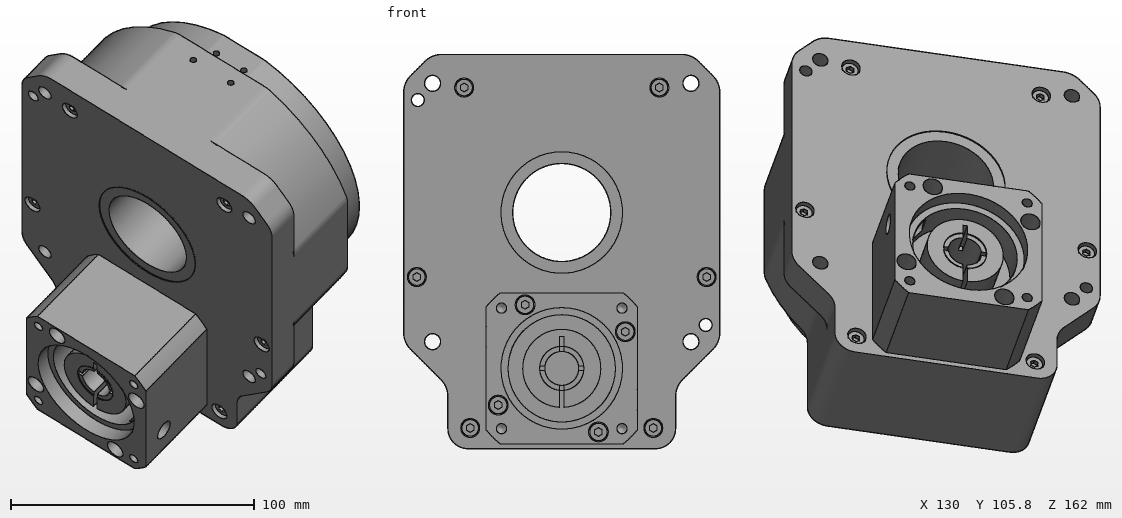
import cadquery as cq
import math


plate_thickness = 14.5
housing_length = 36.0
rotor_length = 14.5
adapter_length = 40.8
housing_back = plate_thickness + housing_length
rotor_back = housing_back + rotor_length

half_width = 65.0
foot_half_width = 46.8
foot_bottom = -97.0
corner_cut_sum = 118.3
edge_fillet = 9.7
foot_fillet = 8.5

housing_radius = 69.0
housing_flat_fillet = 8.0
housing_neck_fillet = 10.0
rotor_radius = 60.0
rotor_flat_height = 59.0
bore_radius = 20.1
bore_ring_radius = 25.0
bore_ring_recess = 0.5

motor_z = -64.0
adapter_width = 62.0
adapter_corner_radius = 40.0
pilot_radius = 25.0
pilot_depth = 6.5
hub_recess = 6.0
cavity_radius = 22.0
cavity_depth = 20.0
hub_radius = 16.0
shaft_radius = 7.0
shaft_depth = 26.0
sleeve_radius = 9.0
sleeve_recess = 0.5
sleeve_slot_depth = 8.5
clamp_slot_width = 1.8
relief_slot_top = 13.1
access_radius = 4.2
access_height = 13.0
access_depth = 12.2

mount_circle = 75.0
mount_radius = 3.2
dowel_radius = 2.6
dowel_angle = 142
screw_circle = 65.1
plate_screw_angles = (52, 128, -24, 204)
screw_bore_radius = 3.9
screw_head_radius = 3.4
screw_head_recess = 1.6
head_height = 4.0
socket_width = 3.0
socket_depth = 2.0
foot_screw_x = 37.6
foot_screw_z = -88.5
adapter_screw_circle = 30.1
adapter_screw_radius = 4.0
adapter_screw_head_radius = 3.5
adapter_screw_head_recess = 32.4
adapter_screw_angle = 30
motor_tap_circle = 35.0
motor_tap_radius = 2.1
motor_tap_depth = 16.2
flat_tap_radius = 1.3
flat_tap_depth = 8.1
drill_tip_half_angle = math.radians(59)
housing_tap_x = 9.7
housing_tap_y = 43.5
rotor_tap_x = 7.1
rotor_tap_y = 55.7

ALONG_Y = cq.Vector(0, 1, 0)


def rod(radius, length, start, direction=ALONG_Y):
    """Cylinder that begins at start and runs along direction."""
    return cq.Workplane(cq.Solid.makeCylinder(radius, length, cq.Vector(*start), direction))


def block(x_range, y_range, z_range):
    """Axis-aligned box between the given limits."""
    sizes = [high - low for low, high in (x_range, y_range, z_range)]
    corner = cq.Vector(x_range[0], y_range[0], z_range[0])
    return cq.Workplane(cq.Solid.makeBox(*sizes, corner))


def drilled(radius, depth, start, direction):
    """Blind drilled hole with a conical tip."""
    tip_length = radius / math.tan(drill_tip_half_angle)
    tip_start = cq.Vector(*start) + direction * depth
    tip = cq.Solid.makeCone(radius, 0, tip_length, tip_start, direction)
    return rod(radius, depth, start, direction).union(cq.Workplane(tip))


def prism(points, y, length):
    """Straight prism along +Y over a closed outline of (x, z) points."""
    corners = [cq.Vector(x, y, z) for x, z in points]
    face = cq.Face.makeFromWires(cq.Wire.makePolygon(corners, close=True))
    return cq.Workplane(cq.Solid.extrudeLinear(face, ALONG_Y * length))


def polar(radius, degrees, center_z=0):
    """X and Z of a point on a circle around (0, center_z)."""
    angle = math.radians(degrees)
    return radius * math.cos(angle), center_z + radius * math.sin(angle)


def socket_screw(x, z, face_y, counterbore_radius, head_radius, head_recess):
    """Space around a socket screw: its counterbore, less the screw head, plus the hexagon socket."""
    head_y = face_y + head_recess
    counterbore = rod(counterbore_radius, head_recess + head_height, (x, face_y, z))
    head = rod(head_radius, head_height, (x, head_y, z))
    socket_corners = []
    for i in range(6):
        dx, corner_z = polar(socket_width / math.sqrt(3), 30 + 60 * i, z)
        socket_corners.append((x + dx, corner_z))
    socket = prism(socket_corners, head_y, socket_depth)
    return counterbore.cut(head.cut(socket))


def fillet_at(solid, points, middle_y, radius):
    """Fillet the edges along Y that pass through the given (x, z) points and are centred at middle_y."""
    for x, z in points:
        edge = cq.selectors.NearestToPointSelector((x, middle_y, z))
        solid = solid.edges(edge).fillet(radius)
    return solid


def mirrored(points):
    """The points together with their mirror images across X = 0."""
    return points + [(-x, z) for x, z in points]


cut_corner = corner_cut_sum - half_width
foot_corner = foot_half_width - corner_cut_sum
right_side = [
    (cut_corner, half_width),
    (half_width, cut_corner),
    (half_width, -cut_corner),
    (foot_half_width, foot_corner),
]
foot_tips = [(foot_half_width, foot_bottom)]
right_outline = right_side + foot_tips
left_outline = [(-x, z) for x, z in reversed(right_outline)]
plate = prism(right_outline + left_outline, 0, plate_thickness)
plate = fillet_at(plate, mirrored(right_side), plate_thickness / 2, edge_fillet)
plate = fillet_at(plate, mirrored(foot_tips), plate_thickness / 2, foot_fillet)

side = (-half_width, half_width)
housing_y = (plate_thickness, housing_back)
drum = rod(housing_radius, housing_length, (0, plate_thickness, 0))
drum = drum.intersect(block(side, housing_y, side)).edges("|Y").fillet(housing_flat_fillet)
foot = block((-foot_half_width, foot_half_width), housing_y, (foot_bottom, 0))
foot = foot.edges("|Y and <Z").fillet(foot_fillet)
housing = drum.union(foot)
neck_z = -math.sqrt(housing_radius**2 - foot_half_width**2)
neck_y = plate_thickness + housing_length / 2
housing = fillet_at(housing, mirrored([(foot_half_width, neck_z)]), neck_y, housing_neck_fillet)

rotor = rod(rotor_radius, rotor_length, (0, housing_back, 0))
rotor = rotor.intersect(
    block((-rotor_radius, rotor_radius), (housing_back, rotor_back), (-rotor_radius, rotor_flat_height))
)

adapter_half = adapter_width / 2
adapter = block(
    (-adapter_half, adapter_half),
    (-adapter_length, 0),
    (motor_z - adapter_half, motor_z + adapter_half),
).intersect(rod(adapter_corner_radius, adapter_length, (0, -adapter_length, motor_z)))

body = plate.union(housing).union(rotor).union(adapter)

body = body.cut(rod(bore_radius, rotor_back, (0, 0, 0)))
body = body.cut(rod(bore_ring_radius, bore_ring_recess, (0, 0, 0)))

motor_face = -adapter_length
hub_face = motor_face + hub_recess
cavity_floor = motor_face + cavity_depth
motor_center = (0, motor_face, motor_z)
hub = rod(hub_radius, cavity_floor - hub_face, (0, hub_face, motor_z))
cavity = rod(cavity_radius, cavity_depth, motor_center).cut(hub)
pilot = rod(pilot_radius, pilot_depth, motor_center).cut(hub)
body = body.cut(cavity.union(pilot))
for toward in (-1, 1):
    start = (toward * adapter_half, motor_face + access_depth, motor_z - toward * access_height)
    access_length = adapter_half - hub_radius
    body = body.cut(rod(access_radius, access_length, start, cq.Vector(-toward, 0, 0)))

half_slot = clamp_slot_width / 2
slot_x = (-half_slot, half_slot)
slot_z = (motor_z - half_slot, motor_z + half_slot)
clamp_slot_z = (motor_z - hub_radius, motor_z + relief_slot_top)
sleeve_x = (-sleeve_radius, sleeve_radius)
sleeve_z = (motor_z - sleeve_radius, motor_z + sleeve_radius)
sleeve = rod(sleeve_radius, cavity_floor - hub_face, (0, hub_face, motor_z))
body = body.cut(block(slot_x, (hub_face, cavity_floor), clamp_slot_z).cut(sleeve))
sleeve_face = hub_face + sleeve_recess
sleeve_slot_y = (sleeve_face, sleeve_face + sleeve_slot_depth)
sleeve_slots = block(sleeve_x, sleeve_slot_y, slot_z).union(block(slot_x, sleeve_slot_y, sleeve_z))
body = body.cut(sleeve_slots.intersect(sleeve))
body = body.cut(rod(sleeve_radius, sleeve_recess, (0, hub_face, motor_z)))
body = body.cut(rod(shaft_radius, shaft_depth, (0, sleeve_face, motor_z)))

mount_points = [polar(mount_circle, 45 + 90 * i) for i in range(4)]
dowel_points = [polar(mount_circle, dowel_angle + 180 * i) for i in range(2)]
for points, radius in ((mount_points, mount_radius), (dowel_points, dowel_radius)):
    for x, z in points:
        body = body.cut(rod(radius, plate_thickness, (x, 0, z)))

plate_screws = [polar(screw_circle, angle) for angle in plate_screw_angles]
plate_screws += mirrored([(foot_screw_x, foot_screw_z)])
for x, z in plate_screws:
    body = body.cut(socket_screw(x, z, 0, screw_bore_radius, screw_head_radius, screw_head_recess))
for i in range(4):
    x, z = polar(adapter_screw_circle, adapter_screw_angle + 90 * i, motor_z)
    screw = socket_screw(
        x, z, motor_face, adapter_screw_radius, adapter_screw_head_radius, adapter_screw_head_recess
    )
    body = body.cut(screw)

for i in range(4):
    x, z = polar(motor_tap_circle, 45 + 90 * i, motor_z)
    body = body.cut(drilled(motor_tap_radius, motor_tap_depth, (x, motor_face, z), ALONG_Y))
top_taps = [
    (housing_tap_x, housing_tap_y, half_width),
    (rotor_tap_x, rotor_tap_y, rotor_flat_height),
]
for tap_x, tap_y, flat_z in top_taps:
    for x in (-tap_x, tap_x):
        body = body.cut(drilled(flat_tap_radius, flat_tap_depth, (x, tap_y, flat_z), cq.Vector(0, 0, -1)))

result = body